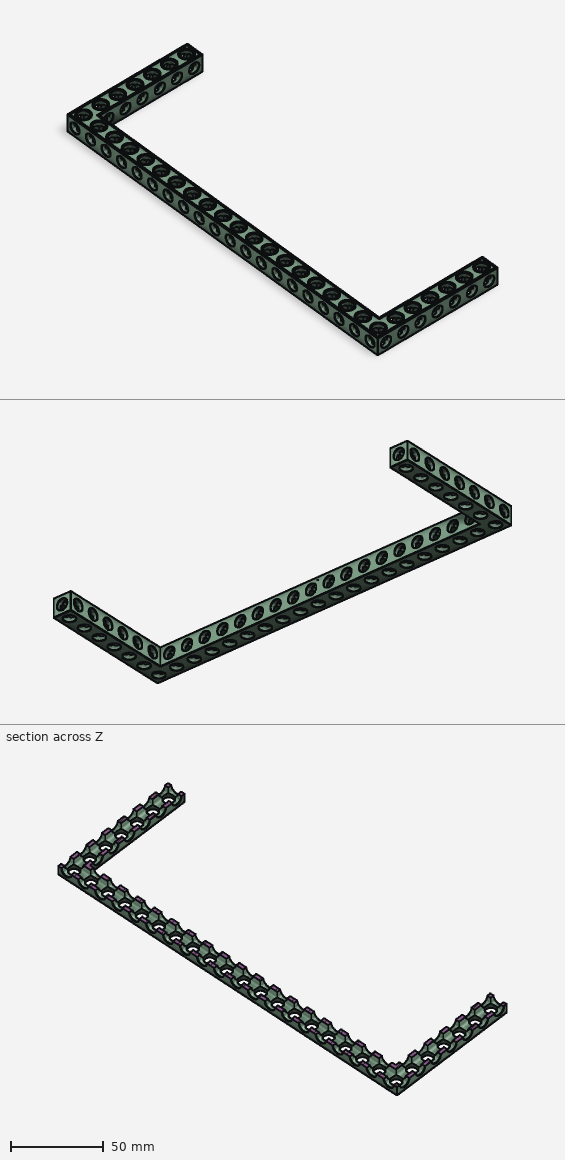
import cadquery as cq

pitch = 12.5
long_count = 20
arm_count = 7
hole_diameter = 7.0
collar_diameter = 9.2
edge_chamfer = 0.3
recess_depth = 0.2

bar = pitch
length = long_count * pitch
arm_length = arm_count * pitch
middle = bar / 2
hole_radius = hole_diameter / 2
rim_width = (collar_diameter - hole_diameter) / 2

beam_cells = [(i + 0.5) * pitch for i in range(long_count)]
arm_cells = [(i + 0.5) * pitch for i in range(arm_count)]
corner_cells = (beam_cells[0], beam_cells[-1])
vertical_points = [(x, middle) for x in beam_cells]
vertical_points += [(x, y) for x in corner_cells for y in arm_cells[1:]]


def u_prism(inset, bottom, height):
    """U-shaped prism: a beam along X and two arms along +Y, with all sides moved in by inset."""
    width = bar - 2 * inset
    beam = cq.Workplane("XY").box(length - 2 * inset, width, height, centered=False)
    arm = cq.Workplane("XY").box(width, arm_length - 2 * inset, height, centered=False)
    far_arm = arm.translate((length - bar, 0, 0))
    return beam.union(arm).union(far_arm).translate((inset, inset, bottom))


def chamfered_frame():
    """The solid bar; every edge is chamfered except the two inner corners of the U."""
    return u_prism(0, 0, bar).edges("(not |Z) or <X or >X or >Y").chamfer(edge_chamfer)


def bores():
    """Straight holes along Z, Y and X, all the way through the part."""
    along_z = cq.Workplane("XY").pushPoints(vertical_points).circle(hole_radius).extrude(bar)
    beam_points = [(x, middle) for x in beam_cells]
    along_y = cq.Workplane("XZ").pushPoints(beam_points).circle(hole_radius).extrude(-arm_length)
    arm_points = [(y, middle) for y in arm_cells]
    along_x = cq.Workplane("YZ").pushPoints(arm_points).circle(hole_radius).extrude(length)
    return [along_z, along_y, along_x]


def mouth_cone(center, inward):
    """Cone that chamfers the mouth of a hole; inward points into the material."""
    return cq.Solid.makeCone(
        hole_radius + edge_chamfer,
        hole_radius,
        edge_chamfer,
        pnt=cq.Vector(*center),
        dir=cq.Vector(*inward),
    )


def hole_mouths():
    """Chamfer cones for every hole mouth on the outer and inner faces of the U."""
    cones = []
    for x, y in vertical_points:
        cones.append(mouth_cone((x, y, 0), (0, 0, 1)))
        cones.append(mouth_cone((x, y, bar), (0, 0, -1)))
    for x in beam_cells:
        far_face = arm_length if x in corner_cells else bar
        cones.append(mouth_cone((x, 0, middle), (0, 1, 0)))
        cones.append(mouth_cone((x, far_face, middle), (0, -1, 0)))
    for y in arm_cells:
        cones.append(mouth_cone((0, y, middle), (1, 0, 0)))
        cones.append(mouth_cone((length, y, middle), (-1, 0, 0)))
    for y in arm_cells[1:]:
        cones.append(mouth_cone((bar, y, middle), (-1, 0, 0)))
        cones.append(mouth_cone((length - bar, y, middle), (1, 0, 0)))
    return cq.Workplane(cq.Compound.makeCompound(cones))


def top_recess():
    """Shallow recess in the top face, leaving a rim along the edges and a collar at each hole."""
    floor = bar - recess_depth
    collars = (
        cq.Workplane("XY", origin=(0, 0, floor))
        .pushPoints(vertical_points)
        .circle(collar_diameter / 2)
        .extrude(recess_depth)
    )
    return u_prism(rim_width, floor, recess_depth).cut(collars)


result = chamfered_frame()
for bore in bores():
    result = result.cut(bore)
result = result.cut(hole_mouths())
result = result.cut(top_recess())